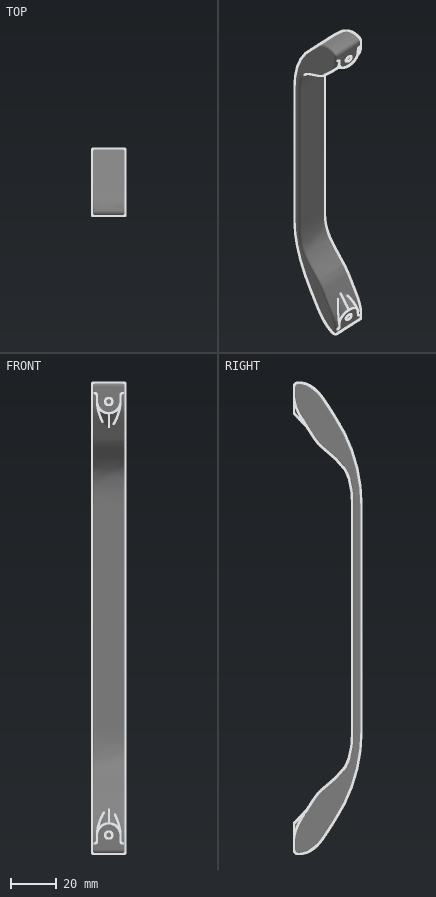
import cadquery as cq
import math

width = 14.97
depth = 30.04
height = 208.9
edge_round = 1.0

grip_y = depth / 2
mount_y = -depth / 2
grip_thickness = 4.3
grip_inner_y = grip_y - grip_thickness

grip_half_length = 50.0
end_z = height / 2
outer_radius = 71.5
shoulder_y = 3.3
tip_middle = (-8.7, 103.5)
heel_round = 2.0

neck_bend = (7.7, 65.8)
neck_end = (-2.7, 75.9)
heel_middle = (-9.4, 85.0)
heel_start_z = 99.8
neck_direction = (1.0, -0.9)

hole_spacing = 192.0
hole_z = hole_spacing / 2
hole_diameter = 3.2
hole_depth = 10.0
boss_radius = 5.2
boss_flare_half_width = 6.4
boss_depth = 9.0
boss_slope = 1.05


def end_profile():
    """Closed YZ outline of the upper half, from the middle of the grip to the tip."""
    shoulder_angle = math.acos(1 - (grip_y - shoulder_y) / outer_radius)
    shoulder = on_outer_arc(shoulder_angle)
    shoulder_direction = (-math.sin(shoulder_angle), math.cos(shoulder_angle))
    return (
        cq.Workplane("YZ", origin=(-width / 2, 0, 0))
        .moveTo(grip_inner_y, 0)
        .lineTo(grip_y, 0)
        .lineTo(grip_y, grip_half_length)
        .threePointArc(on_outer_arc(shoulder_angle / 2), shoulder)
        .spline([tip_middle, (mount_y + heel_round, end_z)],
                tangents=[shoulder_direction, (-1, 0)], includeCurrent=True)
        .radiusArc((mount_y, end_z - heel_round), -heel_round)
        .lineTo(mount_y, heel_start_z)
        .spline([heel_middle, neck_end], tangents=[(0, -1), neck_direction], includeCurrent=True)
        .spline([neck_bend, (grip_inner_y, grip_half_length)],
                tangents=[neck_direction, (0, -1)], includeCurrent=True)
        .close()
    )


def on_outer_arc(angle):
    """Point (Y, Z) on the outer arc, at an angle measured from where it leaves the grip."""
    return (
        grip_y - outer_radius * (1 - math.cos(angle)),
        grip_half_length + outer_radius * math.sin(angle),
    )


def boss_section(y, z):
    """Wire across the boss at level y: round below, straight sides flaring into the heel above."""
    flare_z = z + heel_start_z - hole_z
    flare_radius = boss_flare_half_width - boss_radius
    return (
        cq.Workplane("XZ", origin=(0, y, 0))
        .moveTo(0, z - boss_radius)
        .radiusArc((boss_radius, z), -boss_radius)
        .lineTo(boss_radius, flare_z - flare_radius)
        .radiusArc((boss_flare_half_width, flare_z), flare_radius)
        .lineTo(-boss_flare_half_width, flare_z)
        .radiusArc((-boss_radius, flare_z - flare_radius), flare_radius)
        .lineTo(-boss_radius, z)
        .radiusArc((0, z - boss_radius), -boss_radius)
        .close()
        .wires()
        .val()
    )


def boss():
    """Slanted boss that rises from the inner side to the mounting face."""
    face = boss_section(mount_y, hole_z)
    foot = boss_section(mount_y + boss_depth, hole_z - boss_slope * boss_depth)
    return cq.Workplane(cq.Solid.makeLoft([face, foot], True))


def screw_hole(z):
    """Blind hole drilled into the mounting face."""
    start = cq.Vector(0, mount_y, z)
    return cq.Workplane(cq.Solid.makeCylinder(hole_diameter / 2, hole_depth, start, cq.Vector(0, 1, 0)))


upper = end_profile().extrude(width)
handle = upper.union(upper.mirror("XY")).clean()
handle = handle.faces("<X or >X").edges().fillet(edge_round)

upper_boss = boss()
handle = handle.union(upper_boss).union(upper_boss.mirror("XY")).clean()

for z in (-hole_z, hole_z):
    handle = handle.cut(screw_hole(z))

result = handle